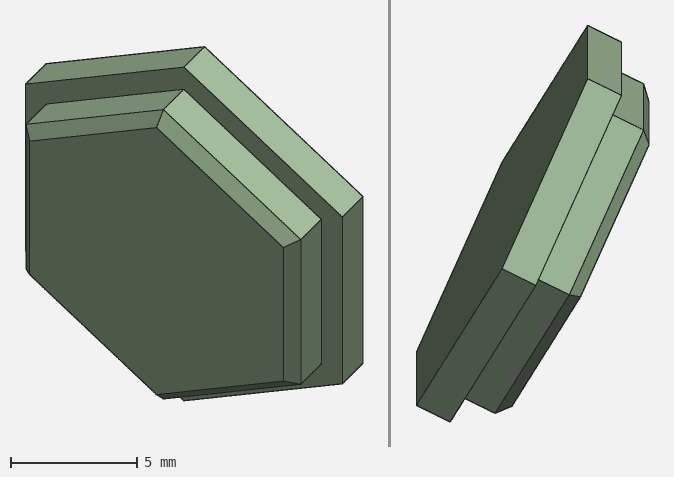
import cadquery as cq
import math

flange_corners = 17.32
plug_flats = 13.0
total_depth = 3.5
flange_depth = 1.5
chamfer_size = 0.5

plug_corners = plug_flats / math.cos(math.radians(30))
plug_depth = total_depth - flange_depth


def hexagon_prism(across_corners, depth):
    """Hexagonal prism from Y = 0 towards -Y, with two corners on the Z axis."""
    prism = cq.Workplane("XZ").polygon(6, across_corners).extrude(depth)
    return prism.rotate((0, 0, 0), (0, 1, 0), 30)


flange = hexagon_prism(flange_corners, flange_depth)

plug = (
    hexagon_prism(plug_corners, plug_depth)
    .faces("<Y")
    .chamfer(chamfer_size)
    .translate((0, -flange_depth, 0))
)

result = flange.union(plug)